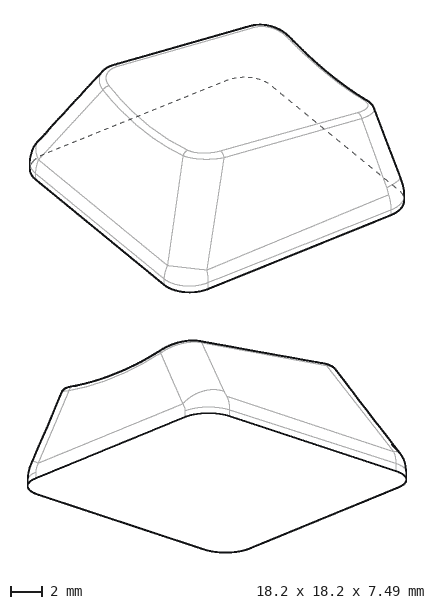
import cadquery as cq
import math

base_size = 18.16
skirt_height = 0.98
edge_radius = 2.0

top_width = 11.99
top_length = 14.16
top_center_y = 1.62
top_center_z = 6.88
tilt = 7.0

dish_radius = 25.42
dish_depth = 0.76
rim_radius = 0.42

tolerance = 0.002


def tilted_plane():
    """Plane of the top, with its local y axis running down the slope."""
    angle = math.radians(tilt)
    return cq.Plane(
        origin=(0, top_center_y, top_center_z),
        xDir=(1, 0, 0),
        normal=(0, math.sin(angle), math.cos(angle)),
    )


def make_sharp_body():
    """Square skirt with four leaning walls rising to the tilted top outline."""
    skirt = cq.Workplane("XY").rect(base_size, base_size).extrude(skirt_height)
    lower = cq.Workplane("XY", origin=(0, 0, skirt_height)).rect(base_size, base_size).wires().val()
    upper = cq.Workplane(tilted_plane()).rect(top_width, top_length).wires().val()
    walls = cq.Solid.makeLoft([lower, upper], True)
    return skirt.union(cq.Workplane(walls))


def make_dish():
    """Long cylinder that follows the slope and scoops out the top."""
    half_length = base_size
    plane = tilted_plane()
    start = plane.toWorldCoords((0, -half_length, dish_radius - dish_depth))
    return cq.Workplane(cq.Solid.makeCylinder(dish_radius, 2 * half_length, start, plane.yDir))


def is_level(edge):
    """True when every point of the edge is at the same height."""
    box = edge.BoundingBox()
    return box.zmax - box.zmin < tolerance


def rises_at_corner(edge):
    """True for the corner edges of the skirt and of the leaning walls."""
    start = edge.startPoint()
    end = edge.endPoint()
    return min(start.z, end.z) < skirt_height + tolerance and not is_level(edge)


def on_shoulder(edge):
    """True for the edges where the skirt meets the leaning walls."""
    return is_level(edge) and abs(edge.Center().z - skirt_height) < tolerance


body = make_sharp_body()
rounded_edges = [edge for edge in body.edges().vals() if rises_at_corner(edge) or on_shoulder(edge)]
body = body.newObject(rounded_edges).fillet(edge_radius)

body = body.cut(make_dish())
dish_face = body.faces("%CYLINDER").faces(">Z")
result = dish_face.edges().fillet(rim_radius)